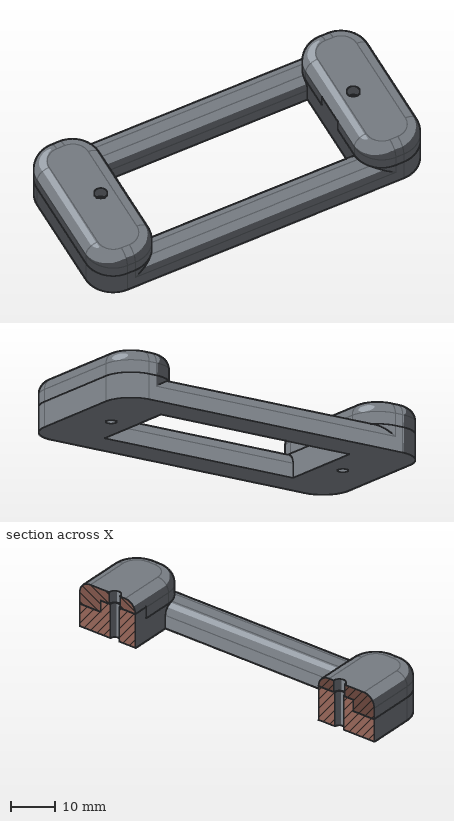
import cadquery as cq

LENGTH = 84.0
WIDTH = 38.0
HEIGHT = 12.0

END_DEPTH = 16.0
CORNER_RADIUS = 7.0
CAP_EDGE_RADIUS = 3.0
FRAME_HEIGHT = HEIGHT / 2
CAP_HEIGHT = HEIGHT - FRAME_HEIGHT
END_CENTER_Y = (LENGTH - END_DEPTH) / 2

RAIL_WIDTH = 8.0
RAIL_EDGE_RADIUS = 2.5
RAIL_CENTER_X = (WIDTH - RAIL_WIDTH) / 2

TONGUE_WIDTH = 8.0
TONGUE_HEIGHT = CAP_HEIGHT - CAP_EDGE_RADIUS

HOLE_INSET = 10.0
HOLE_Y = LENGTH / 2 - HOLE_INSET
CAP_HOLE_DIAMETER = 3.0
FRAME_HOLE_DIAMETER = 2.5

ENDS = (-1, 1)
SIDES = (-1, 1)


def end_slab(end, bottom, height):
    """Rounded rectangular slab at one end of the part."""
    return (
        cq.Workplane("XY", origin=(0, end * END_CENTER_Y, bottom))
        .rect(WIDTH, END_DEPTH)
        .extrude(height)
        .edges("|Z")
        .fillet(CORNER_RADIUS)
    )


def rail(side):
    """Side rail with rounded upper edges, ending inside both end blocks."""
    return (
        cq.Workplane("XY", origin=(side * RAIL_CENTER_X, 0, 0))
        .rect(RAIL_WIDTH, 2 * END_CENTER_Y)
        .extrude(FRAME_HEIGHT)
        .edges("|Y and >Z")
        .fillet(RAIL_EDGE_RADIUS)
    )


def tongue(end):
    """Round-nosed key standing on an end block, flush with its inner face."""
    inner_face_y = end * (LENGTH / 2 - END_DEPTH)
    nose_y = end * HOLE_Y
    nose_tip_y = end * (HOLE_Y + TONGUE_WIDTH / 2)
    half_width = TONGUE_WIDTH / 2
    return (
        cq.Workplane("XY", origin=(0, 0, FRAME_HEIGHT))
        .moveTo(-half_width, inner_face_y)
        .lineTo(half_width, inner_face_y)
        .lineTo(half_width, nose_y)
        .threePointArc((0, nose_tip_y), (-half_width, nose_y))
        .close()
        .extrude(TONGUE_HEIGHT)
    )


def screw_hole(end, diameter):
    """Cutting cylinder through the whole height at one end."""
    return cq.Workplane("XY", origin=(0, end * HOLE_Y, 0)).circle(diameter / 2).extrude(HEIGHT)


def make_frame():
    """Two end blocks with tongues, joined by two rails and drilled for screws."""
    frame = rail(SIDES[0]).union(rail(SIDES[1]))
    for end in ENDS:
        frame = frame.union(end_slab(end, 0, FRAME_HEIGHT))
        frame = frame.union(tongue(end))
        frame = frame.cut(screw_hole(end, FRAME_HOLE_DIAMETER))
    return frame


def make_cap(end):
    """Cap with a rounded top edge, a pocket for the tongue and a screw hole."""
    return (
        end_slab(end, FRAME_HEIGHT, CAP_HEIGHT)
        .faces(">Z")
        .edges()
        .fillet(CAP_EDGE_RADIUS)
        .cut(tongue(end))
        .cut(screw_hole(end, CAP_HOLE_DIAMETER))
    )


frame = make_frame()
caps = [make_cap(end) for end in ENDS]

result = cq.Compound.makeCompound([frame.solids().val(), *[cap.solids().val() for cap in caps]])